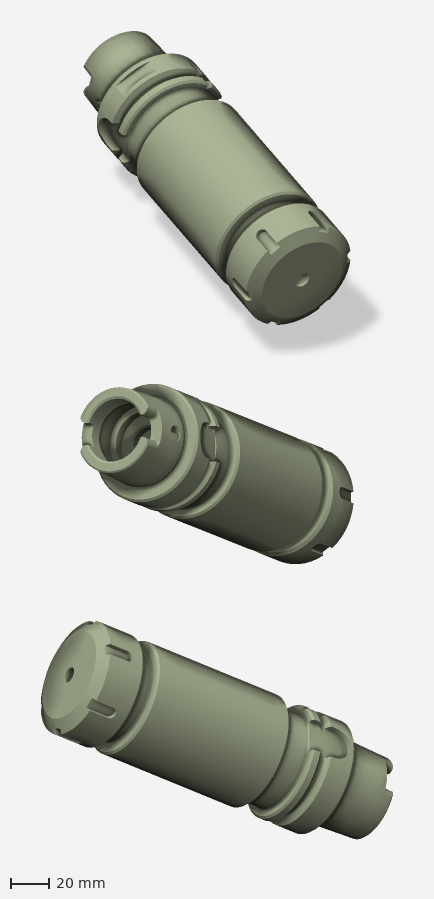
import cadquery as cq
import math

overall_length = 192.0
main_diameter = 63.0
main_radius = main_diameter / 2

flange_start = 31.9
flange_width = 26.1
flange_end = flange_start + flange_width
body_start = 73.3
body_end = 157.6
nut_start = 165.9

shank_tip_radius = 22.8
shank_base_radius = 24.2
shank_tip_chamfer = 0.8
undercut_width = 2.0
undercut_radius = 23.6
undercut_slope = 0.5
undercut_face_depth = 0.4
undercut_outer_radius = 25.3

rear_neck_radius = 26.5
front_neck_radius = 25.0
edge_chamfer = 1.2
neck_bevel = 0.5

groove_mouth_start = 46.3
groove_floor_start = 48.4
groove_floor_end = 51.5
groove_mouth_end = 53.2
groove_floor_radius = 27.0
groove_wall_radius = 28.8
groove_front_draft = 0.5
groove_rear_bevel = 1.2

bore_radius = 16.7
bore_mouth_radius = 17.9
bore_mouth_chamfer = 0.8
relief_start = 12.7
relief_end = 26.9
relief_radius = 18.6
inner_bore_radius = 15.2
bore_depth = 32.6
counterbore_radius = 8.5
counterbore_mouth_radius = 9.5
counterbore_depth = 5.8
through_hole_diameter = 8.5

drive_slot_width = 12.0
near_slot_depth = 10.0
far_slot_depth = 5.8
drive_slot_floor_fillet = 1.5
drive_slot_flare_radius = 3.5

radial_recess_diameter = 8.6
radial_recess_floor = 23.2
half_pocket_diameter = 7.5
half_pocket_floor = 21.1
radial_hole_x = 22.7

keyway_width = 19.0
keyway_start = 34.8
keyway_floor = 26.1
keyway_floor_fillet = 1.0

notch_corner = 20.0
notch_runout_radius = 8.5
notch_runout_end = 44.7

flat_start = 35.5
flat_length = 8.0
flat_chord = 22.7
flat_tilt = 22.0

nut_rear_chamfer = 1.5
nut_cone_length = 4.0
nut_face_radius = 24.2
wrench_slot_count = 6
wrench_slot_width = 6.3
wrench_slot_start = 173.8
wrench_slot_floor = 28.8


def revolve_about_x(points):
    """Revolve a closed (x, radius) outline about the X axis."""
    return cq.Workplane("XY").polyline(points).close().revolve(360, (0, 0, 0), (1, 0, 0))


def make_holder_blank():
    undercut_start = flange_start - undercut_width
    undercut_end = flange_start + undercut_face_depth
    chamfered_radius = main_radius - edge_chamfer
    return revolve_about_x([
        (0, 0),
        (0, shank_tip_radius - shank_tip_chamfer),
        (shank_tip_chamfer, shank_tip_radius),
        (undercut_start, shank_base_radius),
        (undercut_start + undercut_slope, undercut_radius),
        (undercut_end, undercut_radius),
        (undercut_end, undercut_outer_radius - undercut_face_depth),
        (flange_start, undercut_outer_radius),
        (flange_start, chamfered_radius),
        (flange_start + edge_chamfer, main_radius),
        (groove_mouth_start, main_radius),
        (groove_floor_start - groove_front_draft, groove_wall_radius),
        (groove_floor_start, groove_floor_radius),
        (groove_floor_end - groove_rear_bevel, groove_floor_radius),
        (groove_floor_end, groove_floor_radius + groove_rear_bevel),
        (groove_floor_end, groove_wall_radius),
        (groove_mouth_end, main_radius),
        (flange_end - edge_chamfer, main_radius),
        (flange_end, chamfered_radius),
        (flange_end, rear_neck_radius + neck_bevel),
        (flange_end + neck_bevel, rear_neck_radius),
        (body_start - neck_bevel, rear_neck_radius),
        (body_start, rear_neck_radius + neck_bevel),
        (body_start, chamfered_radius),
        (body_start + edge_chamfer, main_radius),
        (body_end - edge_chamfer, main_radius),
        (body_end, chamfered_radius),
        (body_end, front_neck_radius + neck_bevel),
        (body_end + neck_bevel, front_neck_radius),
        (nut_start, front_neck_radius),
        (nut_start, 0),
    ])


def make_bore():
    counterbore_chamfer = counterbore_mouth_radius - counterbore_radius
    counterbore_end = bore_depth + counterbore_depth
    return revolve_about_x([
        (0, 0),
        (0, bore_mouth_radius),
        (bore_mouth_chamfer, bore_radius),
        (relief_start, bore_radius),
        (relief_start, relief_radius),
        (relief_end, relief_radius),
        (relief_end, inner_bore_radius),
        (bore_depth, inner_bore_radius),
        (bore_depth, counterbore_mouth_radius),
        (bore_depth + counterbore_chamfer, counterbore_radius),
        (counterbore_end, counterbore_radius),
        (counterbore_end, 0),
    ])


def make_through_hole():
    return cq.Workplane("YZ").circle(through_hole_diameter / 2).extrude(overall_length)


def drive_slot_section(slot, side, shank_radius):
    """Slot outline in the YZ plane, flared by arcs tangent to the walls and to the shank circle."""
    half_width = drive_slot_width / 2
    flare = drive_slot_flare_radius
    center_z = half_width + flare
    center_y = math.sqrt((shank_radius - flare) ** 2 - center_z**2)
    rim_angle = math.atan2(center_z, center_y)
    rim = (shank_radius * math.cos(rim_angle), shank_radius * math.sin(rim_angle))
    mid_angle = (rim_angle - math.pi / 2) / 2
    mid = (center_y + flare * math.cos(mid_angle), center_z + flare * math.sin(mid_angle))
    clear = (main_radius * math.cos(rim_angle), main_radius * math.sin(rim_angle))
    return (
        slot.moveTo(0, -half_width)
        .lineTo(side * center_y, -half_width)
        .threePointArc((side * mid[0], -mid[1]), (side * rim[0], -rim[1]))
        .lineTo(side * clear[0], -clear[1])
        .lineTo(side * clear[0], clear[1])
        .lineTo(side * rim[0], rim[1])
        .threePointArc((side * mid[0], mid[1]), (side * center_y, half_width))
        .lineTo(0, half_width)
        .close()
    )


def make_drive_slot(side, depth):
    """Slot on one Y side (+1 or -1) whose flared edges follow the taper of the shank."""
    taper = (shank_base_radius - shank_tip_radius) / (flange_start - undercut_width)
    slot = drive_slot_section(cq.Workplane("YZ"), side, shank_tip_radius)
    slot = drive_slot_section(slot.workplane(offset=depth), side, shank_tip_radius + taper * depth)
    slot = slot.loft(ruled=True)
    return slot.faces(">X").edges("not |Z").fillet(drive_slot_floor_fillet)


def make_radial_recess():
    """Shallow round recess on the -Y side with a deeper pocket in its upper half."""
    recess = (
        cq.Workplane("XZ", origin=(radial_hole_x, -radial_recess_floor, 0))
        .circle(radial_recess_diameter / 2)
        .extrude(main_radius)
    )
    radius = half_pocket_diameter / 2
    half_pocket = (
        cq.Workplane("XZ", origin=(radial_hole_x, -half_pocket_floor, 0))
        .moveTo(-radius, 0)
        .threePointArc((0, radius), (radius, 0))
        .close()
        .extrude(main_radius)
    )
    return recess.union(half_pocket)


def make_keyway(side):
    """Round-ended keyway on one Y side (+1 or -1), open toward the body."""
    radius = keyway_width / 2
    arc_x = keyway_start + radius
    return (
        cq.Workplane("XZ", origin=(0, side * keyway_floor, 0))
        .moveTo(arc_x, -radius)
        .lineTo(flange_end, -radius)
        .lineTo(flange_end, radius)
        .lineTo(arc_x, radius)
        .threePointArc((keyway_start, 0), (arc_x, -radius))
        .close()
        .extrude(-side * main_radius)
        .faces('>Y' if side < 0 else '<Y')
        .edges('not >X')
        .fillet(keyway_floor_fillet)
    )


def make_orientation_notch():
    """Right-angled notch whose floor curves up to the flange surface at one end."""
    clear = notch_runout_radius
    block = cq.Workplane("XY").box(
        flange_end - notch_runout_end, clear, clear, centered=False
    ).translate((notch_runout_end, notch_corner, notch_corner))
    runout = (
        cq.Workplane("XZ", origin=(0, notch_corner, 0))
        .center(notch_runout_end, notch_corner + notch_runout_radius)
        .circle(notch_runout_radius)
        .extrude(-clear)
    )
    return block.union(runout)


def make_chip_flat():
    floor_radius = math.sqrt(main_radius**2 - (flat_chord / 2) ** 2)
    return (
        cq.Workplane("XY")
        .box(flat_length, flat_chord, main_radius, centered=(False, True, False))
        .translate((flat_start, 0, floor_radius))
        .rotate((0, 0, 0), (1, 0, 0), flat_tilt)
    )


def make_holder():
    holder = make_holder_blank().cut(make_bore()).cut(make_through_hole())
    holder = holder.cut(make_drive_slot(-1, near_slot_depth))
    holder = holder.cut(make_drive_slot(1, far_slot_depth))
    holder = holder.cut(make_radial_recess())
    for side in (-1, 1):
        holder = holder.cut(make_keyway(side))
    return holder.cut(make_orientation_notch()).cut(make_chip_flat())


def make_wrench_slot():
    """Round-ended wrench slot on the -Y side, open at the nut face."""
    radius = wrench_slot_width / 2
    arc_x = wrench_slot_start + radius
    return (
        cq.Workplane("XZ", origin=(0, -wrench_slot_floor, 0))
        .moveTo(arc_x, -radius)
        .lineTo(overall_length, -radius)
        .lineTo(overall_length, radius)
        .lineTo(arc_x, radius)
        .threePointArc((wrench_slot_start, 0), (arc_x, -radius))
        .close()
        .extrude(main_radius)
    )


def make_nut():
    nut = revolve_about_x([
        (nut_start, 0),
        (nut_start, main_radius - nut_rear_chamfer),
        (nut_start + nut_rear_chamfer, main_radius),
        (overall_length - nut_cone_length, main_radius),
        (overall_length, nut_face_radius),
        (overall_length, 0),
    ])
    nut = nut.cut(make_through_hole())
    for index in range(wrench_slot_count):
        angle = index * 360 / wrench_slot_count
        nut = nut.cut(make_wrench_slot().rotate((0, 0, 0), (1, 0, 0), angle))
    return nut


holder = make_holder()
nut = make_nut()
result = cq.Compound.makeCompound([holder.val(), nut.val()])